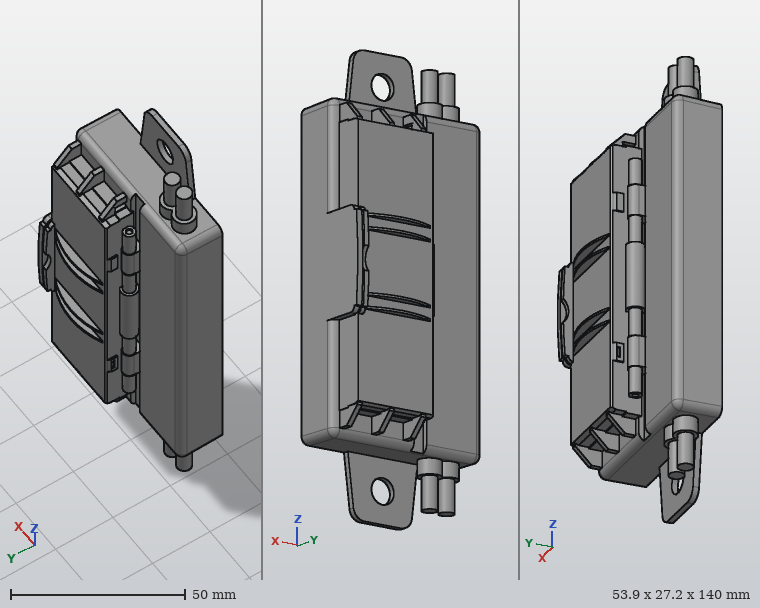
import cadquery as cq

BODY_WIDTH = 53.9
BODY_DEPTH = 15.0
BODY_FRONT_HALF_HEIGHT = 50.1
BODY_BACK_HALF_HEIGHT = 50.5
BODY_FILLET = 2.5

LUG_TIP_Z = 70
LUG_X = -0.7
LUG_TIP_WIDTH = 20.2
LUG_ROOT_WIDTH = 24.9
LUG_THICKNESS = 2.0
LUG_CORNER_RADIUS = 3.9
LUG_HOLE_DIAMETER = 8.0
LUG_HOLE_Z = 60.0

CABLE_XS = (-19.0, -13.0)
CABLE_Y = 8.0
CABLE_RADIUS = 2.4
CABLE_TIP_Z = 65.2
COLLAR_RADIUS = 3.6
COLLAR_TIP_Z = 55.2

LID_LEFT = -2.8
LID_RIGHT = 24.5
LID_TOP = 24.1
LID_HALF_HEIGHT = 42.4
LID_EDGE_CHAMFER = 0.5
LID_END_CHAMFER_DROP = 1.7
LEDGE_TOP = 19.2
LEDGE_STEP = 0.4

RIB_XS = (-0.1, 11.2, 22.7)
RIB_WIDTH = 1.7
RIB_FOOT_HALF_HEIGHT = 48.0
RIB_SLOPE = 5.2
WINDOW_BOTTOM_Z = 43.3
WINDOW_TOP_Z = 45.4
WINDOW_TOP_Y = 19.0

ARCH_CENTRES_Z = (9.8, 13.9)
ARCH_THICKNESS = 0.7
ARCH_HALF_SPAN = 13.2
ARCH_TOP = 26.9

HINGE_X = -4.5
HINGE_Y = 17.1
KNUCKLE_RADIUS = 2.0
KNUCKLE_HALF_LENGTH = 37.5
BARREL_RADIUS = 2.8
BARREL_HALF_LENGTH = 10.4
BRACKET_RADIUS = 2.2
BRACKET_LENGTH = 9.8
BRACKET_CENTRE_Z = 24.2
PIN_RADIUS = 1.0
PIN_RECESS = 0.7
GROOVE_FLOOR_Y = 13.3

CATCH_REACH = 0.5
CATCH_Z = 24.1
CATCH_HEIGHT = 5.7
CATCH_TOP = 23.5
CATCH_BOTTOM = 20.3
CATCH_CHAMFER = 1.0
CATCH_SLOT_Y = 21.8
CATCH_SLOT_DEPTH = 1.0
CATCH_SLOT_HEIGHT = 3.1

LATCH_HALF_HEIGHT = 16.0
LATCH_SHOULDER_Y = 25.5
LATCH_CREST_HALF_HEIGHT = 14.3
LATCH_CREST_EDGE_Y = 26.6
LATCH_PEAK_Y = 27.2
LATCH_CORNER_RADIUS = 1.7
LATCH_GAP_FLOOR = 22.7
TAB_LEFT = 23.0
PLATE_LEFT = 25.0
PLATE_FOOT_Y = 11.9
NOTCH_HALF_WIDTH = 3.8
NOTCH_BOTTOM_Y = 25.5

BODY_RIGHT = BODY_WIDTH / 2
ROOT_OVERLAP = 0.7
ROOT_Y = BODY_DEPTH - ROOT_OVERLAP


def block(x_range, y_range, z_range):
    """Axis-aligned block between the given limits."""
    size = [high - low for low, high in (x_range, y_range, z_range)]
    corner = (x_range[0], y_range[0], z_range[0])
    return cq.Workplane("XY").box(*size, centered=False).translate(corner)


def side_plane(x_range):
    """Workplane facing +X at the start of x_range, with local axes Y and Z."""
    return cq.Workplane("YZ", origin=(x_range[0], 0, 0))


def rod(x, y, radius, half_length):
    """Round bar along Z, centred on Z = 0."""
    return cq.Workplane("XY").center(x, y).circle(radius).extrude(half_length, both=True)


def make_body():
    """Box with slightly drafted Z ends, rounded everywhere except round the front face."""
    body = (
        cq.Workplane("YZ")
        .polyline([
            (0, -BODY_FRONT_HALF_HEIGHT),
            (BODY_DEPTH, -BODY_BACK_HALF_HEIGHT),
            (BODY_DEPTH, BODY_BACK_HALF_HEIGHT),
            (0, BODY_FRONT_HALF_HEIGHT),
        ])
        .close()
        .extrude(BODY_WIDTH / 2, both=True)
    )
    return body.edges("not(<Y)").fillet(BODY_FILLET)


def make_lugs():
    """One tapered strip through both lugs, with a hole near each tip."""
    tip = LUG_TIP_WIDTH / 2
    root = LUG_ROOT_WIDTH / 2
    lugs = (
        cq.Workplane("XZ", origin=(LUG_X, 0, 0))
        .polyline([
            (-tip, LUG_TIP_Z),
            (tip, LUG_TIP_Z),
            (root, BODY_FRONT_HALF_HEIGHT),
            (root, -BODY_FRONT_HALF_HEIGHT),
            (tip, -LUG_TIP_Z),
            (-tip, -LUG_TIP_Z),
            (-root, -BODY_FRONT_HALF_HEIGHT),
            (-root, BODY_FRONT_HALF_HEIGHT),
        ])
        .close()
        .extrude(-LUG_THICKNESS)
    )
    for end in (">Z", "<Z"):
        lugs = lugs.faces(end).edges("|Y").fillet(LUG_CORNER_RADIUS)
    holes = (
        cq.Workplane("XZ", origin=(LUG_X, 0, 0))
        .pushPoints([(0, LUG_HOLE_Z), (0, -LUG_HOLE_Z)])
        .circle(LUG_HOLE_DIAMETER / 2)
        .extrude(-LUG_THICKNESS)
    )
    return lugs.cut(holes)


def make_cables():
    """Two cables and their collars, running through the body to both ends."""
    cables = cq.Workplane("XY")
    for x in CABLE_XS:
        cables = cables.union(rod(x, CABLE_Y, COLLAR_RADIUS, COLLAR_TIP_Z))
        cables = cables.union(rod(x, CABLE_Y, CABLE_RADIUS, CABLE_TIP_Z))
    return cables


def make_lid():
    """Lid with chamfered top edges standing on a slightly larger ledge."""
    flat_half_height = LID_HALF_HEIGHT - LID_EDGE_CHAMFER
    bevel_start_y = LID_TOP - LID_END_CHAMFER_DROP
    lid = (
        side_plane((LID_LEFT, LID_RIGHT))
        .polyline([
            (ROOT_Y, -LID_HALF_HEIGHT),
            (bevel_start_y, -LID_HALF_HEIGHT),
            (LID_TOP, -flat_half_height),
            (LID_TOP, flat_half_height),
            (bevel_start_y, LID_HALF_HEIGHT),
            (ROOT_Y, LID_HALF_HEIGHT),
        ])
        .close()
        .extrude(LID_RIGHT - LID_LEFT)
    )
    lid = lid.faces("<X").edges(">Y").chamfer(LID_EDGE_CHAMFER)
    ledge_half_height = LID_HALF_HEIGHT + LEDGE_STEP
    ledge = block((LID_LEFT, LID_RIGHT), (ROOT_Y, LEDGE_TOP), (-ledge_half_height, ledge_half_height))
    return lid.union(ledge)


def make_end_ribs():
    """Ribs that run the length of the lid and slope down beyond its two ends."""
    top = LID_TOP - LID_EDGE_CHAMFER
    slope_top_z = RIB_FOOT_HALF_HEIGHT - RIB_SLOPE
    ribs = cq.Workplane("XY")
    for x in RIB_XS:
        rib = (
            side_plane((x, x + RIB_WIDTH))
            .polyline([
                (ROOT_Y, -RIB_FOOT_HALF_HEIGHT),
                (top - RIB_SLOPE, -RIB_FOOT_HALF_HEIGHT),
                (top, -slope_top_z),
                (top, slope_top_z),
                (top - RIB_SLOPE, RIB_FOOT_HALF_HEIGHT),
                (ROOT_Y, RIB_FOOT_HALF_HEIGHT),
            ])
            .close()
            .extrude(RIB_WIDTH)
        )
        ribs = ribs.union(rib)
    window = block(
        (RIB_XS[0], RIB_XS[0] + RIB_WIDTH), (BODY_DEPTH, WINDOW_TOP_Y), (WINDOW_BOTTOM_Z, WINDOW_TOP_Z)
    )
    return ribs.cut(window)


def make_arches():
    """Thin arched ribs standing on the lid, in mirrored pairs about Z = 0."""
    middle_x = (LID_LEFT + LID_RIGHT) / 2
    foot_y = LID_TOP - LID_EDGE_CHAMFER
    arches = cq.Workplane("XY")
    for z in ARCH_CENTRES_Z:
        for side in (1, -1):
            arch = (
                cq.Workplane("XY", origin=(middle_x, 0, side * z))
                .moveTo(-ARCH_HALF_SPAN, foot_y)
                .threePointArc((0, ARCH_TOP), (ARCH_HALF_SPAN, foot_y))
                .close()
                .extrude(ARCH_THICKNESS / 2, both=True)
            )
            arches = arches.union(arch)
    return arches


def make_hinge():
    """Long knuckle, thicker middle barrel and two U-shaped brackets on one axis."""
    hinge = rod(HINGE_X, HINGE_Y, KNUCKLE_RADIUS, KNUCKLE_HALF_LENGTH)
    hinge = hinge.union(rod(HINGE_X, HINGE_Y, BARREL_RADIUS, BARREL_HALF_LENGTH))
    for side in (1, -1):
        centre_z = side * BRACKET_CENTRE_Z
        z_range = (centre_z - BRACKET_LENGTH / 2, centre_z + BRACKET_LENGTH / 2)
        legs = block(
            (HINGE_X - BRACKET_RADIUS, HINGE_X + BRACKET_RADIUS), (GROOVE_FLOOR_Y, HINGE_Y), z_range
        )
        crown = rod(HINGE_X, HINGE_Y, BRACKET_RADIUS, BRACKET_LENGTH / 2).translate((0, 0, centre_z))
        hinge = hinge.union(legs).union(crown)
        recess = rod(HINGE_X, HINGE_Y, PIN_RADIUS, PIN_RECESS)
        hinge = hinge.cut(recess.translate((0, 0, side * KNUCKLE_HALF_LENGTH)))
    return hinge


def make_hinge_groove():
    """Clearance groove under the hinge, open at both Z ends of the body."""
    return block(
        (HINGE_X - BRACKET_RADIUS, HINGE_X + BRACKET_RADIUS),
        (GROOVE_FLOOR_Y, BODY_DEPTH),
        (-BODY_BACK_HALF_HEIGHT, BODY_BACK_HALF_HEIGHT),
    )


def make_catches():
    """Bevelled catch at each end of the lid side; only the lower one is slotted."""
    catches = cq.Workplane("XY")
    catch_left = LID_LEFT - CATCH_REACH
    for side in (1, -1):
        catch = (
            cq.Workplane("XY", origin=(0, 0, side * CATCH_Z))
            .polyline([
                (LID_LEFT + CATCH_REACH, CATCH_BOTTOM),
                (catch_left, CATCH_BOTTOM),
                (catch_left, CATCH_TOP - CATCH_CHAMFER),
                (LID_LEFT, CATCH_TOP),
                (LID_LEFT + CATCH_REACH, CATCH_TOP),
            ])
            .close()
            .extrude(CATCH_HEIGHT / 2, both=True)
        )
        catches = catches.union(catch)
    slot = block(
        (catch_left, LID_LEFT),
        (CATCH_SLOT_Y - CATCH_SLOT_DEPTH / 2, CATCH_SLOT_Y + CATCH_SLOT_DEPTH / 2),
        (-CATCH_Z - CATCH_SLOT_HEIGHT / 2, -CATCH_Z + CATCH_SLOT_HEIGHT / 2),
    )
    return catches.cut(slot)


def latch_leaf(x_range, foot_y):
    """Upright leaf with rounded shoulders and a gently arched crest between them."""
    leaf = (
        side_plane(x_range)
        .moveTo(foot_y, -LATCH_HALF_HEIGHT)
        .lineTo(LATCH_SHOULDER_Y, -LATCH_HALF_HEIGHT)
        .lineTo(LATCH_SHOULDER_Y, LATCH_HALF_HEIGHT)
        .lineTo(foot_y, LATCH_HALF_HEIGHT)
        .close()
        .extrude(x_range[1] - x_range[0])
        .faces(">Y")
        .edges("|X")
        .fillet(LATCH_CORNER_RADIUS)
    )
    crest = (
        side_plane(x_range)
        .moveTo(foot_y, -LATCH_CREST_HALF_HEIGHT)
        .lineTo(LATCH_CREST_EDGE_Y, -LATCH_CREST_HALF_HEIGHT)
        .threePointArc((LATCH_PEAK_Y, 0), (LATCH_CREST_EDGE_Y, LATCH_CREST_HALF_HEIGHT))
        .lineTo(foot_y, LATCH_CREST_HALF_HEIGHT)
        .close()
        .extrude(x_range[1] - x_range[0])
    )
    return leaf.union(crest)


def make_latch():
    """Notched inner tab and plain outer plate, joined below the gap between them."""
    tab_range = (TAB_LEFT, LID_RIGHT)
    tab = latch_leaf(tab_range, ROOT_Y)
    notch = (
        side_plane(tab_range)
        .moveTo(LATCH_PEAK_Y, -NOTCH_HALF_WIDTH)
        .threePointArc((NOTCH_BOTTOM_Y, 0), (LATCH_PEAK_Y, NOTCH_HALF_WIDTH))
        .close()
        .extrude(LID_RIGHT - TAB_LEFT)
    )
    plate = latch_leaf((PLATE_LEFT, BODY_RIGHT), PLATE_FOOT_Y)
    bridge = block(
        (LID_RIGHT, PLATE_LEFT), (ROOT_Y, LATCH_GAP_FLOOR), (-LATCH_HALF_HEIGHT, LATCH_HALF_HEIGHT)
    )
    return tab.cut(notch).union(plate).union(bridge)


result = (
    make_body()
    .cut(make_hinge_groove())
    .union(make_lugs())
    .union(make_cables())
    .union(make_lid())
    .union(make_end_ribs())
    .union(make_arches())
    .union(make_hinge())
    .union(make_catches())
    .union(make_latch())
)